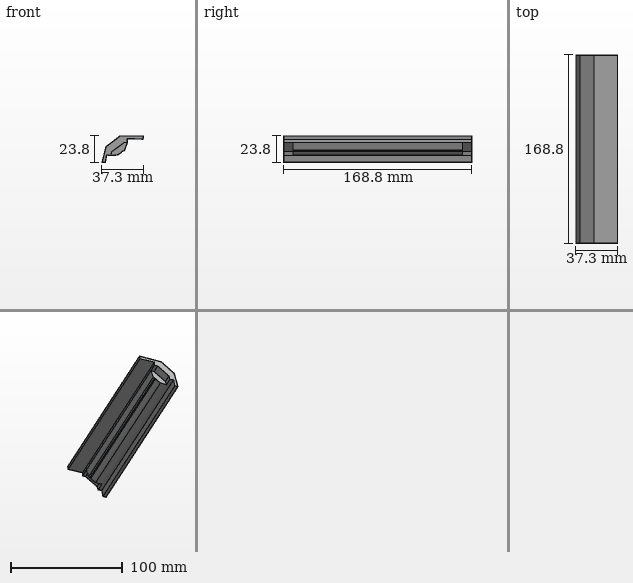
import cadquery as cq

length = 168.8
width = 37.3
height = 23.8

top_bend_x = 16.2
side_bend_x = 3.5
side_bend_z = -9.6

top_flange_root = 2.5
top_flange_tip = 3.0
tip_inset = 0.5
side_flange_thickness = 3.0

step_x = 22.8
seat_z = -6.0
seat_edge_x = 19.7
lower_bend = (8.8, -14.2)
foot_inner = (7.8, -17.7)
foot_outer = (4.2, -17.2)

rib_end_setback = 8.5
rib_shoulder = (20.5, -12.7)
rib_notch_outer = (19.2, -13.7)
rib_notch_inner = (18.2, -13.8)
rib_belly_middle = (16.0, -15.9)
rib_belly_end = (13.5, -17.2)

seam = [(step_x, seat_z), (seat_edge_x, seat_z), lower_bend, foot_inner]


def extrude_along_y(profile, start, end):
    """Extrude a closed XZ profile from Y = start to Y = end."""
    return profile.extrude(start - end).translate((0, start, 0))


def make_strip():
    """Bent strip with a thick middle and two thin flanges."""
    outline = [
        (0, -height),
        (side_bend_x, side_bend_z),
        (top_bend_x, 0),
        (width, 0),
        (width - tip_inset, -top_flange_tip),
        (step_x, -top_flange_root),
        *seam,
        foot_outer,
        (side_flange_thickness, -height),
    ]
    profile = cq.Workplane("XZ").polyline(outline).close()
    return extrude_along_y(profile, 0, length)


def make_rib():
    """Rounded rib filling the hollow side of the thick middle."""
    profile = (
        cq.Workplane("XZ")
        .polyline(seam)
        .lineTo(*rib_belly_end)
        .threePointArc(rib_belly_middle, rib_notch_inner)
        .lineTo(*rib_notch_outer)
        .lineTo(*rib_shoulder)
        .close()
    )
    return extrude_along_y(profile, rib_end_setback, length - rib_end_setback)


result = make_strip().union(make_rib())